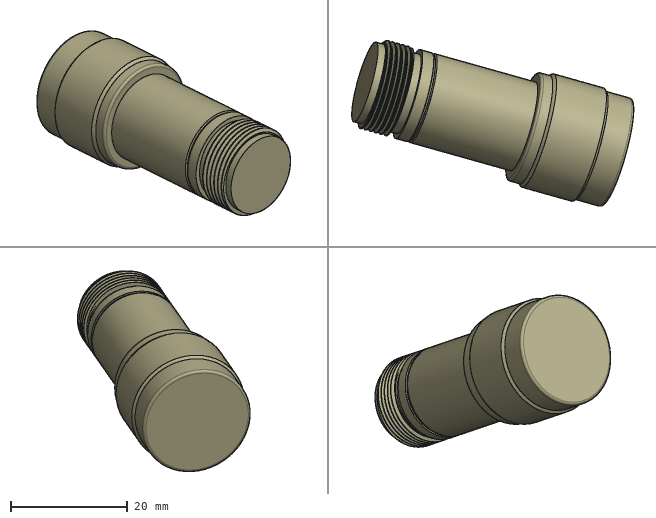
import cadquery as cq

total_length = 45.7

collar_length = 17.0
collar_radius = 9.7
collar_round = 0.45
band_radius = 10.15
band_start = 4.8
band_end = 14.85
band_front_bevel = 0.45
band_rear_bevel = 0.55

barrel_radius = 7.95
barrel_end = 37.9
groove_start = 35.5
groove_end = 35.85
groove_depth = 0.3
groove_bevel = 0.25

spigot_radius = 7.15
thread_start = 39.35
thread_turns = 5.5
thread_pitch = 0.9
thread_end = thread_start + thread_turns * thread_pitch
root_radius = 7.35
crest_radius = barrel_radius
crest_width = 0.15
root_width = 0.2
ridge_sink = 0.1


def shaft(start, end, radius):
    """Cylinder along X between two positions."""
    return cq.Workplane("YZ", origin=(start, 0, 0)).circle(radius).extrude(end - start)


def collar():
    sleeve = shaft(0, collar_length, collar_radius).edges().fillet(collar_round)
    band = (
        cq.Workplane("XY")
        .moveTo(band_start, 0)
        .lineTo(band_start, collar_radius)
        .lineTo(band_start + band_front_bevel, band_radius)
        .lineTo(band_end - band_rear_bevel, band_radius)
        .lineTo(band_end, collar_radius)
        .lineTo(band_end, 0)
        .close()
        .revolve(360, (0, 0, 0), (1, 0, 0))
    )
    return sleeve.union(band)


def barrel():
    rear = shaft(collar_length, groove_start, barrel_radius)
    rear = rear.faces(">X").edges().chamfer(groove_bevel)
    neck = shaft(groove_start, groove_end, barrel_radius - groove_depth)
    front = shaft(groove_end, barrel_end, barrel_radius)
    return rear.union(neck).union(front)


def thread():
    """Right-handed ridge on a raised root cylinder, cut square at both ends."""
    half_crest = crest_width / 2
    half_base = (thread_pitch - root_width) / 2
    flank_slope = (half_base - half_crest) / (crest_radius - root_radius)
    buried_radius = root_radius - ridge_sink
    half_buried = half_base + ridge_sink * flank_slope
    helix_start = thread_start - thread_pitch
    helix_length = thread_end - thread_start + 2 * thread_pitch

    helix = cq.Wire.makeHelix(thread_pitch, helix_length, root_radius)
    ridge = (
        cq.Workplane("XZ")
        .moveTo(buried_radius, -half_buried)
        .lineTo(crest_radius, -half_crest)
        .lineTo(crest_radius, half_crest)
        .lineTo(buried_radius, half_buried)
        .close()
        .sweep(cq.Workplane(obj=helix), isFrenet=True)
        .rotate((0, 0, 0), (0, 0, 1), 180)
        .rotate((0, 0, 0), (0, 1, 0), 90)
        .translate((helix_start, 0, 0))
    )
    root = shaft(helix_start - thread_pitch, thread_end + 2 * thread_pitch, root_radius)
    envelope = shaft(thread_start, thread_end, band_radius)
    return root.union(ridge).intersect(envelope)


spigot = shaft(barrel_end, total_length, spigot_radius)
result = collar().union(barrel()).union(spigot).union(thread())